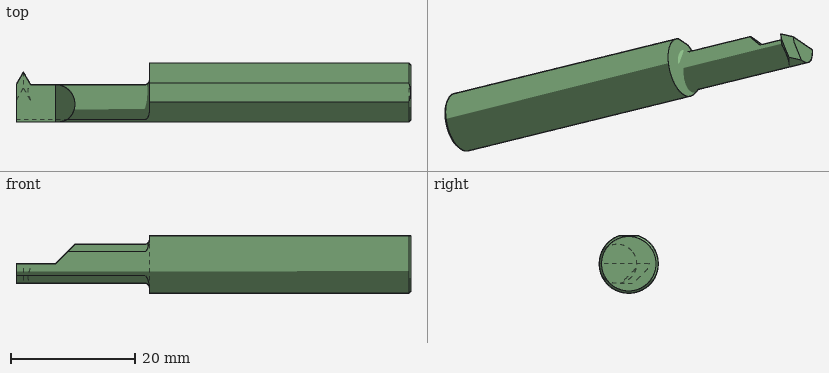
import cadquery as cq
import math

length = 63.5
shank_radius = 4.75
flat_height = 4.5
end_chamfer = 0.4

neck_length = 21.4
neck_radius = 3.145
neck_side = 1.3
neck_center = neck_side - neck_radius
neck_fillet = 0.75

face_length = 6.3
runout_angle = 45.0

tip_x = 1.15
tip_y = 3.3
half_angle = math.radians(30.0)
corner_y = tip_y - tip_x / math.tan(half_angle)

land_depth = 0.9
land_shift = 0.3
clearance_depth = neck_radius - land_depth
clearance_shift = clearance_depth
tooth_base_y = neck_center + land_shift + clearance_shift


def shank_envelope():
    """Full-length cylinder with a chamfered rear end."""
    cylinder = cq.Workplane("YZ").circle(shank_radius).extrude(length)
    return cylinder.faces(">X").chamfer(end_chamfer)


def neck():
    """Neck turned about its own axis, flaring into the shank shoulder."""
    flare_radius = neck_radius + neck_fillet
    flare_start = neck_length - neck_fillet
    arc_offset = neck_fillet * math.sqrt(0.5)
    profile = (
        cq.Workplane("XY")
        .lineTo(0, neck_radius)
        .lineTo(flare_start, neck_radius)
        .threePointArc(
            (flare_start + arc_offset, flare_radius - arc_offset),
            (neck_length, flare_radius),
        )
        .lineTo(neck_length, 0)
        .close()
    )
    turned = profile.revolve(360, (0, 0, 0), (1, 0, 0))
    return turned.translate((0, neck_center, 0))


def runout_cutter():
    """Material above the cutting face, ending in the sloped run-out."""
    run = shank_radius / math.tan(math.radians(runout_angle))
    outline = [(0, 0), (face_length, 0), (face_length + run, shank_radius), (0, shank_radius)]
    return cq.Workplane("XZ").polyline(outline).close().extrude(shank_radius, both=True)


def relieved_prism(outline):
    """Carry an XY outline down along the land and then the clearance."""
    prism = cq.Workplane("XY")
    y, z = 0, 0
    for shift, depth in ((land_shift, land_depth), (clearance_shift, clearance_depth)):
        wire = cq.Wire.makePolygon([cq.Vector(px, py + y, z) for px, py in outline], close=True)
        section = cq.Solid.extrudeLinear(wire, [], cq.Vector(0, -shift, -depth))
        prism = prism.add(section) if z == 0 else prism.union(section)
        y -= shift
        z -= depth
    return prism


def front_relief():
    """Material ahead of the front tooth flank."""
    outer_y = tip_y + shank_radius
    return relieved_prism([(0, corner_y), (tip_x, tip_y), (tip_x, outer_y), (0, outer_y)])


def tooth():
    """Symmetric point with its root buried in the neck."""
    rear_x = tip_x + (tip_y - tooth_base_y) * math.tan(half_angle)
    return relieved_prism([(0, tooth_base_y), (0, corner_y), (tip_x, tip_y), (rear_x, tooth_base_y)])


shank = cq.Workplane("YZ").workplane(offset=neck_length).circle(shank_radius).extrude(length)
flat_cutter = cq.Workplane("XY").box(
    length, 2 * shank_radius, shank_radius, centered=(False, True, False)
).translate((0, 0, flat_height))

body = neck().union(shank).intersect(shank_envelope()).cut(flat_cutter)
result = body.cut(runout_cutter()).cut(front_relief()).union(tooth())